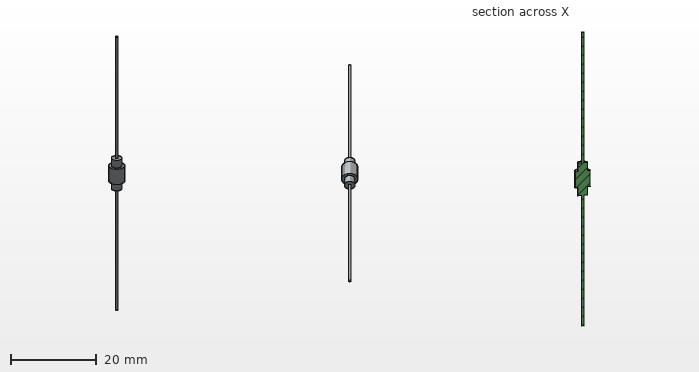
import cadquery as cq

total_length = 71.4
lead_diameter = 0.65
collar_diameter = 2.5
collar_span = 8.0
barrel_diameter = 3.8
barrel_length = 4.0


def centered_cylinder(diameter, length):
    """Cylinder along Z, centred on the origin."""
    return cq.Workplane("XY").cylinder(length, diameter / 2)


lead = centered_cylinder(lead_diameter, total_length)
collars = centered_cylinder(collar_diameter, collar_span)
barrel = centered_cylinder(barrel_diameter, barrel_length)

result = barrel.union(collars).union(lead)